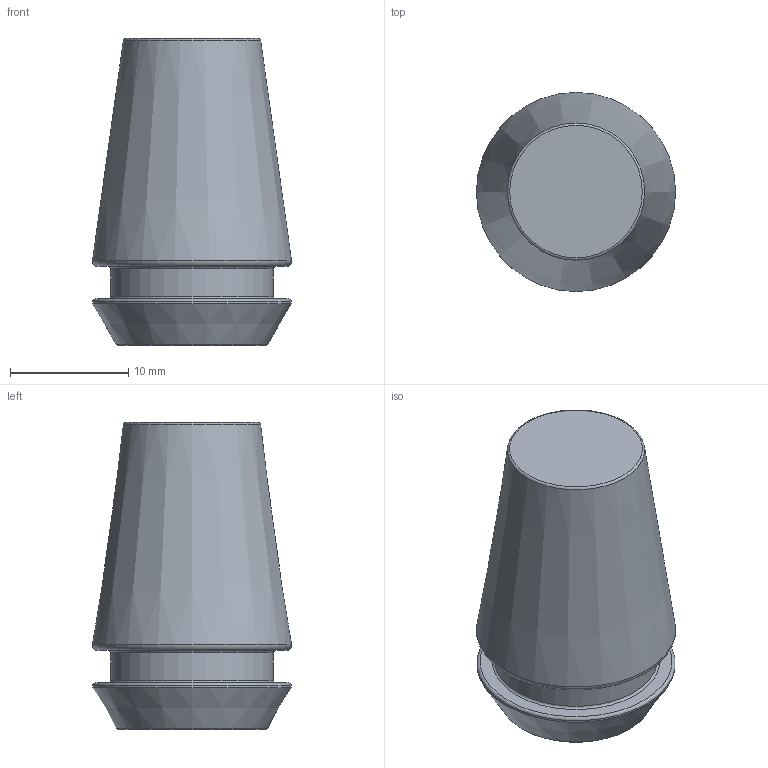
import cadquery as cq
import math

overall_length = 26.0
groove_bottom = 3.95
groove_top = 6.7

groove_diameter = 13.8
taper_large_diameter = 17.0
flange_diameter = 16.8

taper_half_angle = 8.0
nose_half_angle = 30.0
flange_land_bottom = 3.55

taper_rim_fillet = 0.45
flange_rim_fillet = 0.25
groove_root_fillet = 0.2
end_face_fillet = 0.2

match_tolerance = 0.001

groove_radius = groove_diameter / 2
taper_large_radius = taper_large_diameter / 2
flange_radius = flange_diameter / 2
taper_length = overall_length - groove_top
taper_drop = taper_length * math.tan(math.radians(taper_half_angle))
taper_small_radius = taper_large_radius - taper_drop
nose_drop = flange_land_bottom * math.tan(math.radians(nose_half_angle))
nose_radius = flange_radius - nose_drop


def revolved_body():
    """Nose cone, groove and long taper with sharp edges, turned about Z."""
    profile = (
        cq.Workplane("XZ")
        .moveTo(0, 0)
        .lineTo(nose_radius, 0)
        .lineTo(flange_radius, flange_land_bottom)
        .lineTo(flange_radius, groove_bottom)
        .lineTo(groove_radius, groove_bottom)
        .lineTo(groove_radius, groove_top)
        .lineTo(taper_large_radius, groove_top)
        .lineTo(taper_small_radius, overall_length)
        .lineTo(0, overall_length)
        .close()
    )
    return profile.revolve(360, (0, 0, 0), (0, 1, 0))


def round_edge(body, radius, height, fillet):
    """Round the circular edge of the given radius at the given height."""
    def is_wanted(edge):
        same_radius = abs(edge.radius() - radius) < match_tolerance
        same_height = abs(edge.Center().z - height) < match_tolerance
        return same_radius and same_height

    return body.edges("%CIRCLE").filter(is_wanted).fillet(fillet)


rounded_edges = [
    (nose_radius, 0, end_face_fillet),
    (flange_radius, groove_bottom, flange_rim_fillet),
    (groove_radius, groove_bottom, groove_root_fillet),
    (groove_radius, groove_top, groove_root_fillet),
    (taper_large_radius, groove_top, taper_rim_fillet),
    (taper_small_radius, overall_length, end_face_fillet),
]

result = revolved_body()
for edge_radius, edge_height, edge_fillet in rounded_edges:
    result = round_edge(result, edge_radius, edge_height, edge_fillet)